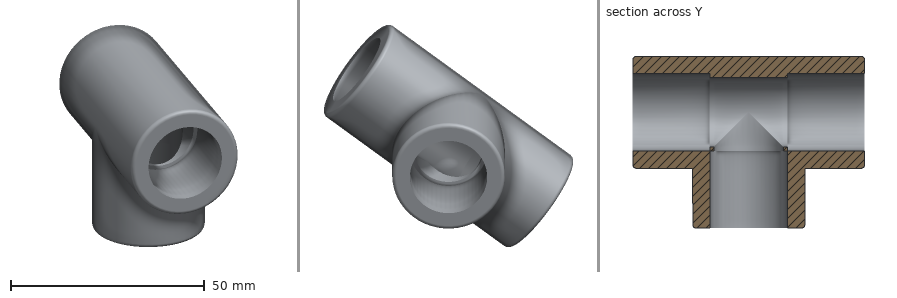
import cadquery as cq

run_length = 60.0
branch_length = run_length / 2
outer_diameter = 29.1
socket_diameter = 20.0
bore_diameter = 17.8
socket_depth = 20.0
edge_radius = 1.0


def run_cylinder(diameter, length):
    """Cylinder along X, centred on the origin."""
    start = cq.Workplane("YZ").workplane(offset=-length / 2)
    return start.circle(diameter / 2).extrude(length)


def branch_cylinder(diameter, start, end):
    """Cylinder on the branch axis between two distances below the run axis."""
    return cq.Workplane("XY").workplane(offset=-end).circle(diameter / 2).extrude(end - start)


run = run_cylinder(outer_diameter, run_length).faces("<X or >X").edges().fillet(edge_radius)
branch = branch_cylinder(outer_diameter, 0, branch_length).faces("<Z").edges().fillet(edge_radius)
body = run.union(branch)

body = body.cut(run_cylinder(bore_diameter, run_length))
body = body.cut(branch_cylinder(bore_diameter, 0, branch_length))

run_socket = run_cylinder(socket_diameter, socket_depth)
socket_offset = (run_length - socket_depth) / 2
for side in (-1, 1):
    body = body.cut(run_socket.translate((side * socket_offset, 0, 0)))
branch_socket = branch_cylinder(socket_diameter, branch_length - socket_depth, branch_length)

result = body.cut(branch_socket)